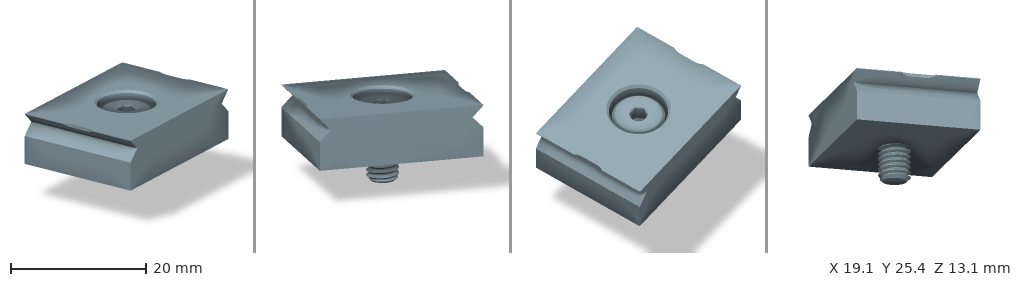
import cadquery as cq
import math

BLOCK_X = 19.05
BLOCK_Y = 25.4
BLOCK_TOP = 7.95
GROOVE_DEPTH = 1.73
LIP_INSET = 0.05
LIP_LAND = 0.1
NOTCH_WIDTH = 5.33
NOTCH_FLOOR = 2.6
NOTCH_DEPTH = 0.4

TIP_Z = BLOCK_TOP - 13.08
HEAD_DIAMETER = 7.92
HEAD_HEIGHT = 4.83
HEAD_RECESS = 1.12
HEAD_CHAMFER = 0.48
SOCKET_FLATS = 2.4
SOCKET_DEPTH = HEAD_HEIGHT / 2
HEAD_TOP = BLOCK_TOP - HEAD_RECESS
HEAD_BASE = HEAD_TOP - HEAD_HEIGHT

THREAD_RADIUS = 2.41
CORE_RADIUS = 1.943
PITCH = 0.7938
CREST_WIDTH = 0.1
THREAD_ANGLE = 60.0
CREST_PHASE = -0.18
TIP_RADIUS = 1.842
SEAM_TURN = 30.0
ROOT_OVERLAP = 0.08

BORE_DIAMETER = 8.76
BORE_CHAMFER = 0.38
CLEARANCE_DIAMETER = 5.08


def make_block():
    edge = BLOCK_Y / 2
    apex = edge - GROOVE_DEPTH
    lip = edge - LIP_INSET
    land_z = BLOCK_TOP - LIP_LAND
    apex_z = land_z - (lip - apex)
    ledge_z = apex_z - GROOVE_DEPTH
    profile = [
        (-edge, 0), (edge, 0), (edge, ledge_z), (apex, apex_z), (lip, land_z),
        (lip, BLOCK_TOP), (-lip, BLOCK_TOP), (-lip, land_z), (-apex, apex_z), (-edge, ledge_z),
    ]
    block = cq.Workplane("YZ").polyline(profile).close().extrude(BLOCK_X / 2, both=True)

    bore_radius = BORE_DIAMETER / 2
    clearance = CLEARANCE_DIAMETER / 2
    hole = (
        cq.Workplane("XZ")
        .polyline([
            (0, 0), (clearance, 0), (clearance, HEAD_BASE), (bore_radius, HEAD_BASE),
            (bore_radius, BLOCK_TOP - BORE_CHAMFER),
            (bore_radius + BORE_CHAMFER, BLOCK_TOP), (0, BLOCK_TOP),
        ])
        .close()
        .revolve(360, (0, 0, 0), (0, 1, 0))
    )
    block = block.cut(hole)
    for side in (-1, 1):
        block = block.cut(make_lip_notch(side))
    return block


def make_lip_notch(side):
    """Vertical cut through the thin lip: a straight floor with a tangent arc at each end."""
    half_width = NOTCH_WIDTH / 2
    half_floor = NOTCH_FLOOR / 2
    lip = side * (BLOCK_Y / 2 - LIP_INSET)
    floor = lip - side * NOTCH_DEPTH
    half_notch = (
        cq.Workplane("XY", origin=(0, 0, BLOCK_TOP - GROOVE_DEPTH))
        .moveTo(0, floor)
        .lineTo(half_floor, floor)
        .tangentArcPoint((half_width, lip), relative=False)
        .lineTo(0, lip)
        .close()
        .extrude(GROOVE_DEPTH)
    )
    return half_notch.union(half_notch.mirror("YZ"))


def make_threaded_rod():
    """Right-handed helical ridge on a core, both running past the ends of the shank."""
    start_z = CREST_PHASE + PITCH * math.floor((TIP_Z - CREST_PHASE) / PITCH)
    turns = math.ceil((HEAD_BASE - start_z) / PITCH) + 1
    length = turns * PITCH
    inner = CORE_RADIUS - ROOT_OVERLAP
    half_crest = CREST_WIDTH / 2
    half_root = half_crest + (THREAD_RADIUS - inner) * math.tan(math.radians(THREAD_ANGLE / 2))
    helix = cq.Wire.makeHelix(PITCH, length, CORE_RADIUS, center=cq.Vector(0, 0, start_z))
    ridge = (
        cq.Workplane("XZ")
        .polyline([
            (inner, start_z - half_root), (THREAD_RADIUS, start_z - half_crest),
            (THREAD_RADIUS, start_z + half_crest), (inner, start_z + half_root),
        ])
        .close()
        .sweep(cq.Workplane(obj=helix), isFrenet=True)
    )
    overrun = 2 * PITCH
    core = (
        cq.Workplane("XY", origin=(0, 0, start_z - overrun))
        .circle(CORE_RADIUS)
        .extrude(length + 2 * overrun)
    )
    return core.union(ridge)


def make_screw():
    head_radius = HEAD_DIAMETER / 2
    shank_limit = (
        cq.Workplane("XY", origin=(0, 0, TIP_Z))
        .circle(head_radius)
        .extrude(HEAD_BASE - TIP_Z)
        .faces("<Z")
        .chamfer(head_radius - TIP_RADIUS)
        .rotate((0, 0, 0), (0, 0, 1), SEAM_TURN)
    )
    shank = make_threaded_rod().intersect(shank_limit)

    head = (
        cq.Workplane("XY", origin=(0, 0, HEAD_BASE))
        .circle(head_radius)
        .extrude(HEAD_HEIGHT)
        .faces(">Z")
        .chamfer(HEAD_CHAMFER)
    )
    screw = head.union(shank)

    corner_radius = SOCKET_FLATS / math.sqrt(3)
    socket = (
        cq.Workplane("XY", origin=(0, 0, HEAD_TOP))
        .transformed(rotate=(0, 0, 90))
        .polygon(6, 2 * corner_radius)
        .extrude(-SOCKET_DEPTH)
    )
    mouth = cq.Workplane(
        cq.Solid.makeCone(corner_radius, 0, corner_radius, cq.Vector(0, 0, HEAD_TOP), cq.Vector(0, 0, -1))
    )
    return screw.cut(socket).cut(mouth)


block = make_block()
screw = make_screw()

result = cq.Compound.makeCompound([block.val(), *screw.vals()])